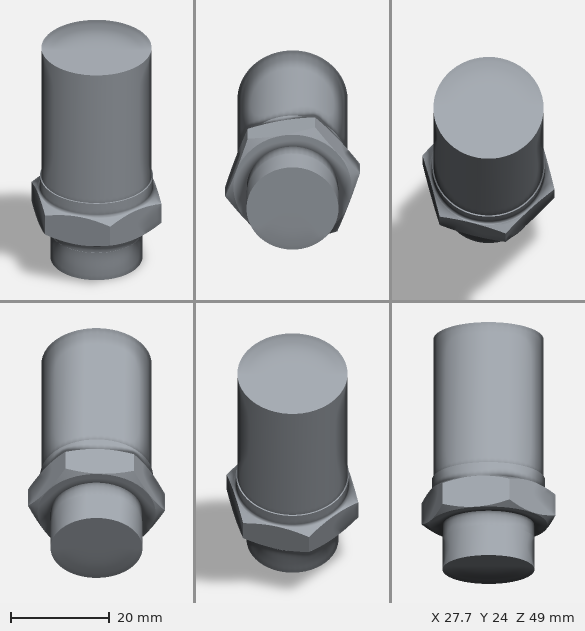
import cadquery as cq
import math

total_height = 49.0
stub_top = 6.35
hex_bottom = 9.45
hex_top = 16.1
collar_top = 19.1

stub_diameter = 18.6
neck_diameter = 18.5
collar_diameter = 22.9
body_diameter = 22.3
across_flats = 24.0
across_corners = across_flats / math.cos(math.pi / 6)

chamfer_angle = math.radians(30)

collar_fillet = 0.5
chamfer_face_diameter = collar_diameter + 2 * collar_fillet


def cylinder(diameter, bottom, top):
    return cq.Workplane("XY").workplane(offset=bottom).circle(diameter / 2).extrude(top - bottom)


def chamfered_hexagon():
    """Hexagon with corners on the X axis, trimmed by a cone at each end."""
    prism = (
        cq.Workplane("XY")
        .workplane(offset=hex_bottom)
        .polygon(6, across_corners)
        .extrude(hex_top - hex_bottom)
    )
    face_radius = chamfer_face_diameter / 2
    corner_radius = across_corners / 2
    chamfer_drop = (corner_radius - face_radius) * math.tan(chamfer_angle)
    envelope = (
        cq.Workplane("XZ")
        .moveTo(0, hex_bottom)
        .lineTo(face_radius, hex_bottom)
        .lineTo(corner_radius, hex_bottom + chamfer_drop)
        .lineTo(corner_radius, hex_top - chamfer_drop)
        .lineTo(face_radius, hex_top)
        .lineTo(0, hex_top)
        .close()
        .revolve(360, (0, 0, 0), (0, 1, 0))
    )
    return prism.intersect(envelope)


def collar_root():
    """Ring under the collar whose concave arc runs down into the hexagon's top face."""
    collar_radius = collar_diameter / 2
    root_radius = collar_radius + collar_fillet
    fillet_top = hex_top + collar_fillet
    arc_offset = collar_fillet * (1 - math.sqrt(0.5))
    return (
        cq.Workplane("XZ")
        .moveTo(0, hex_top)
        .lineTo(root_radius, hex_top)
        .threePointArc((collar_radius + arc_offset, hex_top + arc_offset), (collar_radius, fillet_top))
        .lineTo(0, fillet_top)
        .close()
        .revolve(360, (0, 0, 0), (0, 1, 0))
    )


stub = cylinder(stub_diameter, 0, stub_top)
neck = cylinder(neck_diameter, stub_top, hex_bottom)
collar = cylinder(collar_diameter, hex_top, collar_top)
body = cylinder(body_diameter, collar_top, total_height)

result = stub.union(neck).union(chamfered_hexagon()).union(collar_root()).union(collar).union(body)